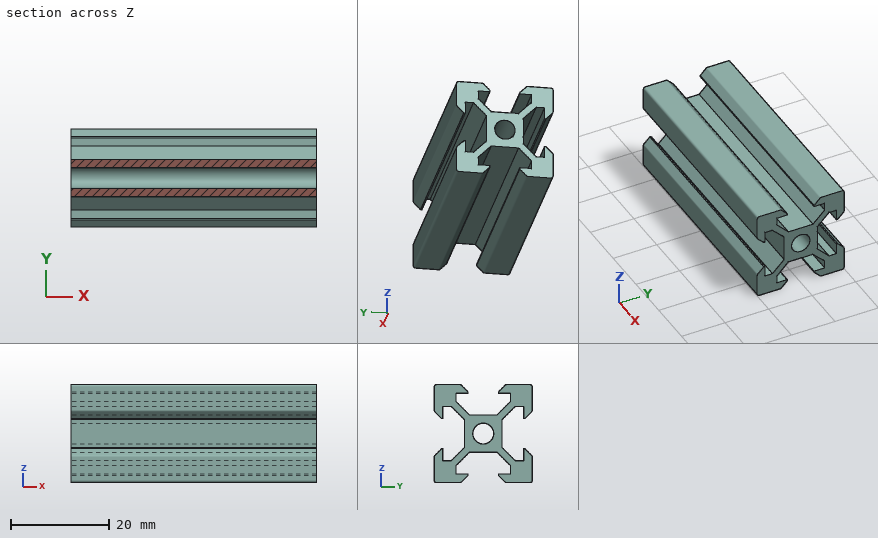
import cadquery as cq

length = 50.0
side = 20.0
corner_radius = 0.5
mouth_edge_radius = 0.5
bore_diameter = 4.2

mouth_width = 9.15
throat_width = 6.15
pocket_width = 11.0
lip_thickness = 1.8
core_width = 7.65
web_offset = 1.0

half_side = side / 2
half_mouth = mouth_width / 2
half_throat = throat_width / 2
half_pocket = pocket_width / 2
half_core = core_width / 2

taper_end = half_side - (half_mouth - half_throat)
lip_underside = half_side - lip_thickness
pocket_shoulder = half_pocket + web_offset
half_floor = half_core - web_offset


def make_slot():
    """Cutter for the slot in the +Z side, running the full length along X."""
    half_outline = [
        (half_mouth, half_side),
        (half_throat, taper_end),
        (half_throat, lip_underside),
        (half_pocket, lip_underside),
        (half_pocket, pocket_shoulder),
        (half_floor, half_core),
    ]
    mirrored = [(-y, z) for y, z in reversed(half_outline)]
    return cq.Workplane("YZ").polyline(half_outline + mirrored).close().extrude(length)


result = cq.Workplane("YZ").rect(side, side).extrude(length).edges("|X").fillet(corner_radius)

slot = make_slot()
for angle in (0, 90, 180, 270):
    result = result.cut(slot.rotate((0, 0, 0), (1, 0, 0), angle))

for axis in ("Y", "Z"):
    for sign in (-1, 1):
        for across in (-half_mouth, half_mouth):
            outward = sign * half_side
            y, z = (outward, across) if axis == "Y" else (across, outward)
            edge_point = (length / 2, y, z)
            result = result.edges(cq.selectors.NearestToPointSelector(edge_point)).fillet(mouth_edge_radius)

bore = cq.Workplane("YZ").circle(bore_diameter / 2).extrude(length)
result = result.cut(bore)